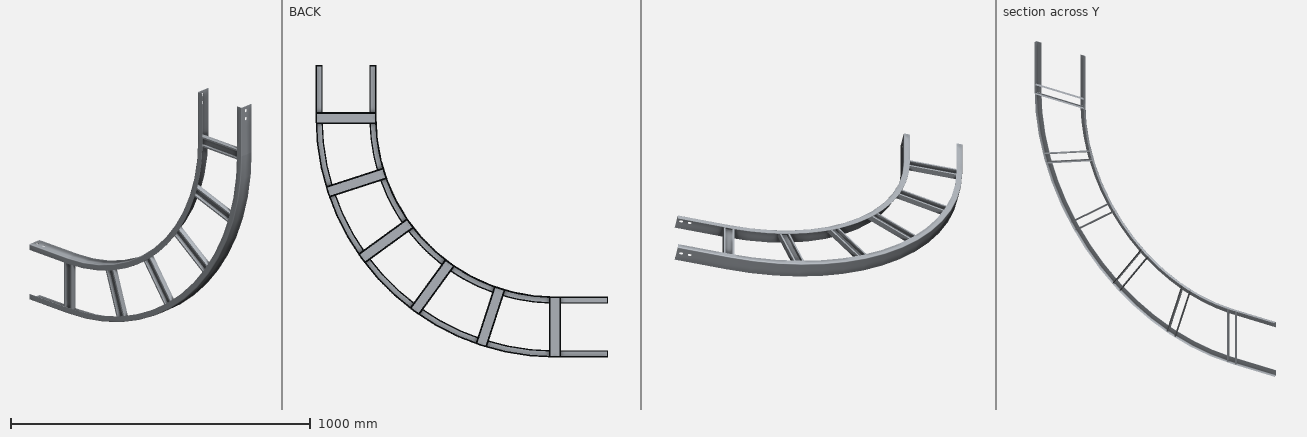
import cadquery as cq
import math

SIZE = 973.0
HEIGHT = 50.0
LADDER_WIDTH = 200.0
LEG = 175.0

SHEET = 1.5
FLANGE = 20.0
BEND_RADIUS = 3.0

RUNG_COUNT = 6
RUNG_SPACING = 90.0 / (RUNG_COUNT - 1)
RUNG_WIDTH = 36.0
RUNG_TOP = 19.0
RUNG_LIP = 6.0
RUNG_SHEET = 2.0

SLOTS_PER_END = 2
SLOT_LENGTH = 13.0
SLOT_WIDTH = 8.0
SLOT_END_GAP = 16.0
SLOT_PITCH = 29.0
SLOT_HEIGHT = 21.0

HALF = SIZE / 2
FRONT = -HEIGHT / 2
CENTRE_X = -HALF + LEG
CENTRE_Z = HALF - LEG
OUTER_RADIUS = SIZE - LEG
INNER_RADIUS = OUTER_RADIUS - LADDER_WIDTH


def rail(radius, inward):
    """L rail along leg, arc and leg; inward is the Z direction of its flange at the lower leg."""
    web_z = CENTRE_Z - radius
    web_x = CENTRE_X + radius
    diagonal = radius * math.sqrt(0.5)
    path = (
        cq.Workplane("XZ")
        .moveTo(-HALF, web_z)
        .lineTo(CENTRE_X, web_z)
        .threePointArc((CENTRE_X + diagonal, CENTRE_Z - diagonal), (web_x, CENTRE_Z))
        .lineTo(web_x, HALF)
    )
    inner_bend_end = web_z + inward * BEND_RADIUS
    web_inside = web_z + inward * SHEET
    flange_tip = web_z + inward * FLANGE
    section = (
        cq.Workplane("YZ", origin=(-HALF, 0, 0))
        .moveTo(-FRONT, web_z)
        .lineTo(FRONT + BEND_RADIUS, web_z)
        .tangentArcPoint((FRONT, inner_bend_end), relative=False)
        .lineTo(FRONT, flange_tip)
        .lineTo(FRONT + SHEET, flange_tip)
        .lineTo(FRONT + SHEET, inner_bend_end)
        .tangentArcPoint((FRONT + BEND_RADIUS, web_inside), relative=False)
        .lineTo(-FRONT, web_inside)
        .close()
    )
    return section.sweep(path)


def rung(angle):
    """Lipped channel between the rail webs, turned by angle about the bend centre."""
    half_width = RUNG_WIDTH / 2
    half_inside = half_width - RUNG_SHEET
    half_mouth = half_width - RUNG_LIP
    lip_front = FRONT + SHEET
    lip_back = lip_front + RUNG_SHEET
    floor_back = FRONT + RUNG_TOP
    floor_front = floor_back - RUNG_SHEET
    right_side = [
        (half_inside, floor_front),
        (half_inside, lip_back),
        (half_mouth, lip_back),
        (half_mouth, lip_front),
        (half_width, lip_front),
        (half_width, floor_back),
    ]
    left_side = [(-x, y) for x, y in reversed(right_side)]
    sink = SHEET / 2
    start_z = CENTRE_Z - OUTER_RADIUS + sink
    length = LADDER_WIDTH - 2 * sink
    return (
        cq.Workplane("XY", origin=(CENTRE_X, 0, start_z))
        .polyline(right_side + left_side)
        .close()
        .extrude(length)
        .rotate((CENTRE_X, 0, CENTRE_Z), (CENTRE_X, 1, CENTRE_Z), -angle)
    )


def end_slots():
    """Cutters for the slots through both rails at both ends."""
    cutters = cq.Workplane("XY")
    slot_y = FRONT + SLOT_HEIGHT
    depth = LADDER_WIDTH + FLANGE
    for index in range(SLOTS_PER_END):
        along = HALF - SLOT_END_GAP - index * SLOT_PITCH
        lower_leg = (
            cq.Workplane("XY", origin=(-along, slot_y, -HALF - SHEET))
            .slot2D(SLOT_LENGTH, SLOT_WIDTH)
            .extrude(depth)
        )
        upper_leg = (
            cq.Workplane("YZ", origin=(HALF + SHEET, slot_y, along))
            .slot2D(SLOT_LENGTH, SLOT_WIDTH, 90)
            .extrude(-depth)
        )
        cutters = cutters.add(lower_leg).add(upper_leg)
    return cutters.combine()


result = rail(OUTER_RADIUS, 1).union(rail(INNER_RADIUS, -1))
for number in range(RUNG_COUNT):
    result = result.union(rung(number * RUNG_SPACING))
result = result.cut(end_slots())